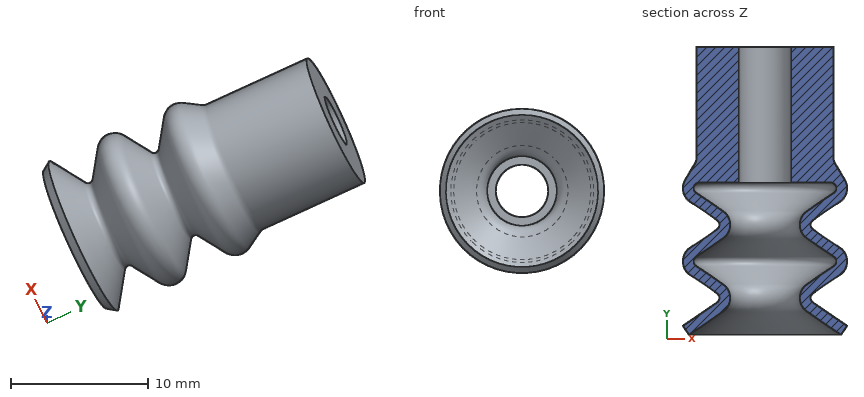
import cadquery as cq
import math


total_length = 21.0
crest_radius = 6.0
neck_radius = 10.0 / 3.0
body_radius = 5.0
bore_radius = 1.9
wall = 0.8
half_pitch = 8.0 / 3.0
crest_round = 1.2
neck_round = 0.4
shoulder_angle = math.radians(31.0)
body_fillet = 0.8

crest_centre_radius = crest_radius - crest_round
neck_centre_radius = neck_radius + neck_round
centre_rise = crest_centre_radius - neck_centre_radius
centre_distance = math.hypot(half_pitch, centre_rise)
flank_angle = math.atan2(centre_rise, half_pitch) + math.asin((crest_round + neck_round) / centre_distance)

lip_position = wall * math.sin(flank_angle)
lip_mouth_radius = crest_radius - wall * math.cos(flank_angle)
neck_tangent_radius = neck_centre_radius - neck_round * math.cos(flank_angle)
flare_length = (crest_radius - neck_tangent_radius) / math.tan(flank_angle)
first_neck = lip_position + flare_length + neck_round * math.sin(flank_angle)
first_crest = first_neck + half_pitch
second_neck = first_crest + half_pitch
second_crest = second_neck + half_pitch

inner_crest_round = crest_round - wall
inner_neck_round = neck_round + wall


def crest_point(position, rounding, angle):
    """Point on a crest rounding, at an angle from its top toward the body."""
    return (
        position + rounding * math.sin(angle),
        crest_centre_radius + rounding * math.cos(angle),
    )


def neck_point(position, rounding, angle):
    """Point on a neck rounding, at an angle from its bottom toward the body."""
    return (
        position + rounding * math.sin(angle),
        neck_centre_radius - rounding * math.cos(angle),
    )


def add_round(profile, point_on_round, position, rounding, end_angle):
    """Run along a flank to a rounding and follow it over its middle."""
    return profile.lineTo(*point_on_round(position, rounding, -flank_angle)).threePointArc(
        point_on_round(position, rounding, 0),
        point_on_round(position, rounding, end_angle),
    )


def add_bellows(profile, crest_rounding, neck_rounding, last_angle):
    """Add two necks and two crests, leaving the last crest at last_angle."""
    profile = add_round(profile, neck_point, first_neck, neck_rounding, flank_angle)
    profile = add_round(profile, crest_point, first_crest, crest_rounding, flank_angle)
    profile = add_round(profile, neck_point, second_neck, neck_rounding, flank_angle)
    return add_round(profile, crest_point, second_crest, crest_rounding, last_angle)


def revolve_profile(profile):
    return profile.close().revolve(360, (0, 0), (1, 0))


def make_outer_solid():
    shoulder_start, shoulder_start_radius = crest_point(second_crest, crest_round, shoulder_angle)
    fillet_centre_radius = body_radius + body_fillet
    shoulder_end_radius = fillet_centre_radius - body_fillet * math.cos(shoulder_angle)
    shoulder_length = (shoulder_start_radius - shoulder_end_radius) / math.tan(shoulder_angle)
    shoulder_end = shoulder_start + shoulder_length
    body_start = shoulder_end + body_fillet * math.sin(shoulder_angle)
    fillet_middle = (
        body_start - body_fillet * math.sin(shoulder_angle / 2),
        fillet_centre_radius - body_fillet * math.cos(shoulder_angle / 2),
    )

    profile = cq.Workplane("YZ").lineTo(0, lip_mouth_radius).lineTo(lip_position, crest_radius)
    profile = add_bellows(profile, crest_round, neck_round, shoulder_angle)
    profile = (
        profile.lineTo(shoulder_end, shoulder_end_radius)
        .threePointArc(fillet_middle, (body_start, body_radius))
        .lineTo(total_length, body_radius)
        .lineTo(total_length, 0)
    )
    return revolve_profile(profile)


def make_cavity():
    """Hollow of the bellows, closed by a flat floor, with the bore through the body."""
    floor_position = second_crest + inner_crest_round
    profile = cq.Workplane("YZ").lineTo(0, lip_mouth_radius)
    profile = add_bellows(profile, inner_crest_round, inner_neck_round, math.pi / 2)
    profile = (
        profile.lineTo(floor_position, bore_radius)
        .lineTo(total_length, bore_radius)
        .lineTo(total_length, 0)
    )
    return revolve_profile(profile)


result = make_outer_solid().cut(make_cavity())